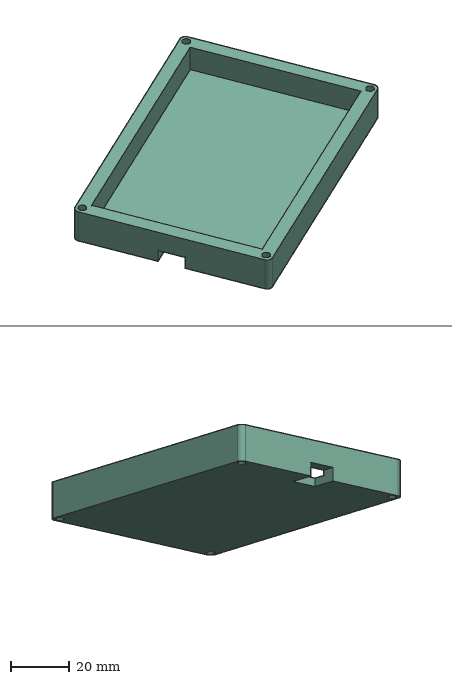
import cadquery as cq

width = 73.0
length = 101.0
height = 13.0
corner_radius = 2.0

wall = 4.9
floor_thickness = 3.0

hole_diameter = 2.9
hole_inset = 2.5

notch_width = 10.0
notch_height = 4.8
notch_depth = 9.5


def make_block():
    block = cq.Workplane("XY").box(width, length, height, centered=(True, True, False))
    return block.edges("|Z").fillet(corner_radius)


def make_pocket():
    return (
        cq.Workplane("XY")
        .workplane(offset=floor_thickness)
        .rect(width - 2 * wall, length - 2 * wall)
        .extrude(height - floor_thickness)
    )


def make_screw_holes():
    return (
        cq.Workplane("XY")
        .rect(width - 2 * hole_inset, length - 2 * hole_inset, forConstruction=True)
        .vertices()
        .circle(hole_diameter / 2)
        .extrude(height)
    )


def make_notch():
    return (
        cq.Workplane("XY")
        .box(notch_width, notch_depth, notch_height, centered=(True, False, False))
        .translate((0, -length / 2, 0))
    )


result = make_block().cut(make_pocket()).cut(make_screw_holes()).cut(make_notch())